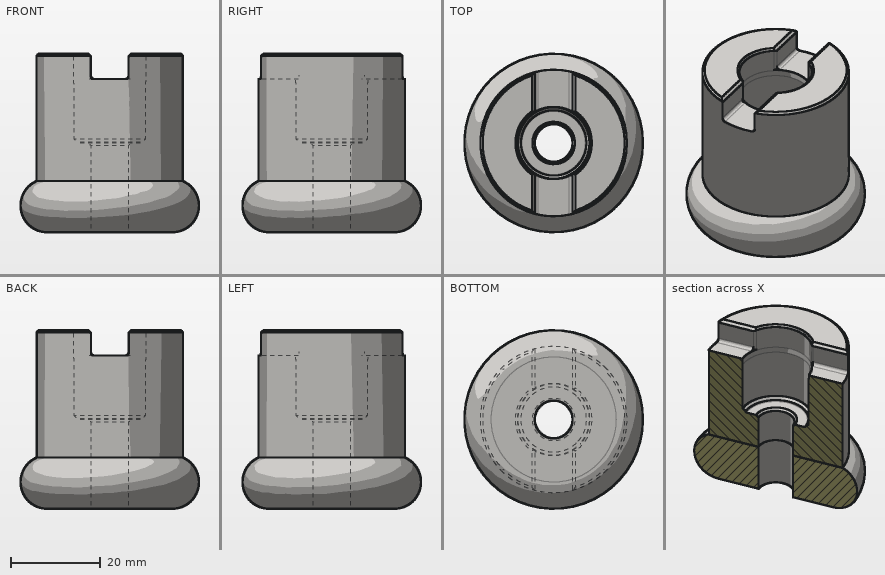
import cadquery as cq
import math

total_height = 40.0
post_diameter = 32.8
foot_diameter = 40.0
foot_round_radius = 6.0
screw_hole_diameter = 8.4
screw_hole_chamfer = 0.55
top_bore_diameter = 16.2
top_bore_bottom_z = 34.07
mouth_radius = 8.55
rim_chamfer = 0.5
head_bore_diameter = 16.0
head_bore_top_z = 32.8
head_bore_floor_z = 20.0
recess_diameter = 14.65
recess_fillet = 0.25
slot_width = 8.4
slot_depth = 5.68
slot_chamfer = 0.68
slot_fillet = 0.7
slot_corner_radius = 0.7

post_radius = post_diameter / 2
screw_hole_radius = screw_hole_diameter / 2
top_bore_radius = top_bore_diameter / 2
mouth_chamfer = mouth_radius - top_bore_radius
head_bore_radius = head_bore_diameter / 2
recess_radius = recess_diameter / 2
recess_fillet_inset = recess_fillet * (1 - math.sqrt(0.5))
taper_top_z = head_bore_floor_z + recess_fillet + head_bore_radius - recess_radius
flat_radius = foot_diameter / 2 - foot_round_radius
slot_floor_z = total_height - slot_depth
corner_start_y = math.sqrt(
    (top_bore_radius + slot_corner_radius) ** 2 - (slot_width / 2 + slot_corner_radius) ** 2
)
seat_z = foot_round_radius + math.sqrt(foot_round_radius**2 - (post_radius - flat_radius) ** 2)


def make_foot():
    """Round-edged foot with a flat seat for the post and a through hole."""
    outline = (
        cq.Workplane("XZ")
        .lineTo(flat_radius, 0)
        .threePointArc((foot_diameter / 2, foot_round_radius), (post_radius, seat_z))
        .lineTo(0, seat_z)
        .close()
    )
    foot = outline.revolve(360, (0, 0, 0), (0, 1, 0))
    hole = cq.Workplane("XY").circle(screw_hole_radius).extrude(seat_z)
    return foot.cut(hole)


def make_stepped_bore():
    """Axial cavity of the post: screw hole, tapered floor, head bore and wider top bore."""
    outline = (
        cq.Workplane("XZ")
        .moveTo(0, seat_z)
        .lineTo(screw_hole_radius, seat_z)
        .lineTo(screw_hole_radius, head_bore_floor_z - screw_hole_chamfer)
        .lineTo(screw_hole_radius + screw_hole_chamfer, head_bore_floor_z)
        .lineTo(recess_radius - recess_fillet, head_bore_floor_z)
        .threePointArc(
            (recess_radius - recess_fillet_inset, head_bore_floor_z + recess_fillet_inset),
            (recess_radius, head_bore_floor_z + recess_fillet),
        )
        .lineTo(head_bore_radius, taper_top_z)
        .lineTo(head_bore_radius, head_bore_top_z)
        .lineTo(top_bore_radius, top_bore_bottom_z)
        .lineTo(top_bore_radius, total_height - mouth_chamfer)
        .lineTo(mouth_radius, total_height)
        .lineTo(0, total_height)
        .close()
    )
    return outline.revolve(360, (0, 0, 0), (0, 1, 0))


def make_slot():
    """Cross slot along Y with rounded floor corners and chamfered top edges."""
    slot = (
        cq.Workplane("XY")
        .workplane(offset=slot_floor_z)
        .rect(slot_width, post_diameter)
        .extrude(slot_depth)
        .edges("|Y and <Z")
        .fillet(slot_fillet)
    )
    half_width = slot_width / 2
    flare = (
        cq.Workplane("XZ")
        .polyline([
            (-half_width, total_height - slot_chamfer),
            (half_width, total_height - slot_chamfer),
            (half_width + slot_chamfer, total_height),
            (-half_width - slot_chamfer, total_height),
        ])
        .close()
        .extrude(post_radius, both=True)
    )
    return slot.union(flare)


def make_slot_corners():
    """Cutter that rounds the upright corners where the slot walls run into the top bore."""
    floor_plane = cq.Workplane("XY").workplane(offset=slot_floor_z)
    bore = floor_plane.circle(top_bore_radius).extrude(slot_depth)
    crossing = floor_plane.rect(slot_width, post_diameter).extrude(slot_depth)
    near_axis = cq.selectors.BoxSelector(
        (-top_bore_radius, -top_bore_radius, 0),
        (top_bore_radius, top_bore_radius, total_height),
    )
    rounded = bore.union(crossing).edges("|Z").edges(near_axis).fillet(slot_corner_radius)
    limits = floor_plane.rect(post_diameter, 2 * corner_start_y).extrude(slot_depth)
    return rounded.intersect(limits)


def make_post():
    """Cylindrical post standing on the foot, slotted across its top."""
    post = (
        cq.Workplane("XY")
        .workplane(offset=seat_z)
        .circle(post_radius)
        .extrude(total_height - seat_z)
        .faces(">Z")
        .chamfer(rim_chamfer)
    )
    return post.cut(make_stepped_bore()).cut(make_slot()).cut(make_slot_corners())


foot = make_foot()
post = make_post()
result = cq.Compound.makeCompound([foot.val(), post.val()])